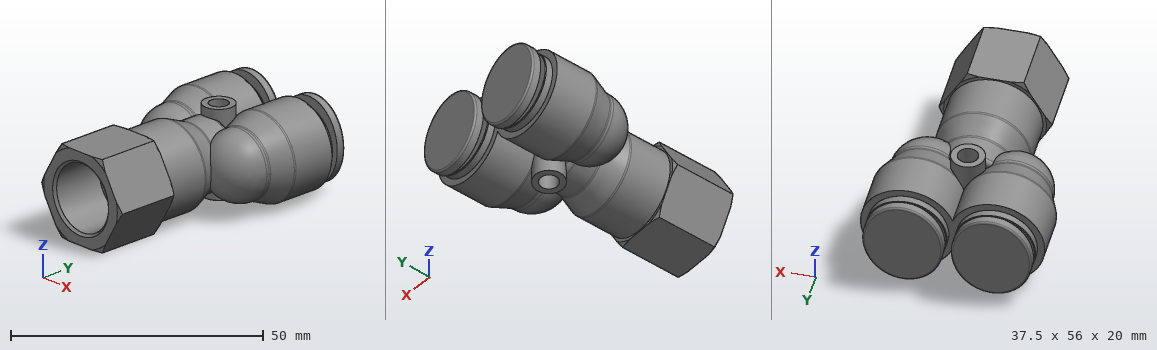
import cadquery as cq
import math

OVERALL_LENGTH = 56.0
OVERALL_WIDTH = 37.5

BARREL_RADIUS = 9.75
WAIST_RADIUS = 7.7
BLEND_RADIUS = 1.0
PORT_OFFSET = OVERALL_WIDTH / 2 - BARREL_RADIUS
PORT_MOUTH_Y = 51.0
PORT_TAPER_START_Y = 40.95
PORT_TAPER_END_Y = 35.9
DOME_CENTER_Y = 35.05
STEM_TAPER_START_Y = 25.05
STEM_TAPER_END_Y = 30.0
STEM_END_Y = DOME_CENTER_Y + BLEND_RADIUS
EYE_RADIUS = 3.5
EYE_HOLE_RADIUS = 4.2 / 2
EYE_Y = 37.95

COLLAR_RADIUS = 16.5 / 2
COLLAR_TOP_Y = 52.75
COLLAR_CHAMFER = 0.15

NECK_RADIUS = 11.7 / 2
FLANGE_HALF_WIDTH = 8.2
FLANGE_HALF_HEIGHT = 9.3
FLANGE_THICKNESS = 2.0
FLANGE_EDGE_RADIUS = 0.4

NUT_LENGTH = 15.0
NUT_ACROSS_FLATS = 20.0
NUT_FACE_RADIUS = 10.5
NUT_BEVEL_DROP = 0.45
SOCKET_RADIUS = 7.4
SOCKET_DEPTH = 12.3
SOCKET_CHAMFER = 0.55
PASSAGE_RADIUS = 8.0 / 2

PORT_CENTERS = [-PORT_OFFSET, PORT_OFFSET]


def cylinder_along_y(radius, start_y, end_y, x=0.0):
    """Cylinder parallel to Y between two Y positions."""
    disc = cq.Workplane("XZ", origin=(x, start_y, 0)).circle(radius)
    return disc.extrude(start_y - end_y)


def make_port(x):
    """Barrel that tapers to a waist and closes with a half-sphere dome."""
    profile = (
        cq.Workplane("XY")
        .moveTo(0, PORT_MOUTH_Y)
        .lineTo(BARREL_RADIUS, PORT_MOUTH_Y)
        .lineTo(BARREL_RADIUS, PORT_TAPER_START_Y)
        .lineTo(WAIST_RADIUS, PORT_TAPER_END_Y)
        .lineTo(WAIST_RADIUS, DOME_CENTER_Y)
        .radiusArc((0, DOME_CENTER_Y - WAIST_RADIUS), WAIST_RADIUS)
        .close()
    )
    port = profile.revolve(360, (0, 0, 0), (0, 1, 0))
    return port.faces("%CONE").edges().fillet(BLEND_RADIUS).translate((x, 0, 0))


def make_stem():
    """Barrel behind the nut that tapers to a waist with a rounded end between the ports."""
    profile = cq.Workplane("XY").polyline([
        (0, NUT_LENGTH),
        (BARREL_RADIUS, NUT_LENGTH),
        (BARREL_RADIUS, STEM_TAPER_START_Y),
        (WAIST_RADIUS, STEM_TAPER_END_Y),
        (WAIST_RADIUS, STEM_END_Y),
        (0, STEM_END_Y),
    ]).close()
    stem = profile.revolve(360, (0, 0, 0), (0, 1, 0))
    stem = stem.faces("%CONE").edges().fillet(BLEND_RADIUS)
    return stem.faces(">Y").edges().fillet(BLEND_RADIUS)


def make_housing():
    """Y-shaped housing with a mounting eye through the fork."""
    housing = make_stem()
    for x in PORT_CENTERS:
        housing = housing.union(make_port(x))
    eye_plane = cq.Workplane("XY", origin=(0, EYE_Y, 0))
    eye = eye_plane.circle(EYE_RADIUS).extrude(BARREL_RADIUS, both=True)
    eye_hole = eye_plane.circle(EYE_HOLE_RADIUS).extrude(BARREL_RADIUS, both=True)
    return housing.union(eye).cut(eye_hole)


def make_collar(x):
    """Round step seated on the port mouth."""
    collar = cylinder_along_y(COLLAR_RADIUS, PORT_MOUTH_Y, COLLAR_TOP_Y, x)
    return collar.faces(">Y").edges().chamfer(COLLAR_CHAMFER)


def make_sleeve(x):
    """Release sleeve standing on the collar."""
    flange_bottom_y = OVERALL_LENGTH - FLANGE_THICKNESS
    flange = (
        cq.Workplane("XZ", origin=(x, flange_bottom_y, 0))
        .ellipse(FLANGE_HALF_WIDTH, FLANGE_HALF_HEIGHT)
        .extrude(-FLANGE_THICKNESS)
        .faces(">Y").edges().fillet(FLANGE_EDGE_RADIUS)
    )
    neck = cylinder_along_y(NECK_RADIUS, COLLAR_TOP_Y, flange_bottom_y, x)
    return flange.union(neck)


def make_nut():
    """Hexagonal nut, bevelled at both ends, with a socket and a passage in its floor."""
    corner_radius = NUT_ACROSS_FLATS / math.sqrt(3)
    nut = cq.Workplane("XZ").polygon(6, 2 * corner_radius).extrude(-NUT_LENGTH)
    bevel_envelope = (
        cylinder_along_y(corner_radius, 0, NUT_LENGTH)
        .edges().chamfer(NUT_BEVEL_DROP, corner_radius - NUT_FACE_RADIUS)
    )
    socket = cylinder_along_y(SOCKET_RADIUS, 0, SOCKET_DEPTH)
    passage = cylinder_along_y(PASSAGE_RADIUS, SOCKET_DEPTH, NUT_LENGTH)
    nut = nut.intersect(bevel_envelope).cut(socket).cut(passage)
    socket_rim = nut.faces("<Y").edges("%CIRCLE").edges(cq.selectors.RadiusNthSelector(0))
    return socket_rim.chamfer(SOCKET_CHAMFER)


housing = make_housing()
nut = make_nut()
collars = [make_collar(x) for x in PORT_CENTERS]
sleeves = [make_sleeve(x) for x in PORT_CENTERS]

result = cq.Compound.makeCompound(
    [housing.val(), nut.val()]
    + [collar.val() for collar in collars]
    + [sleeve.val() for sleeve in sleeves]
)